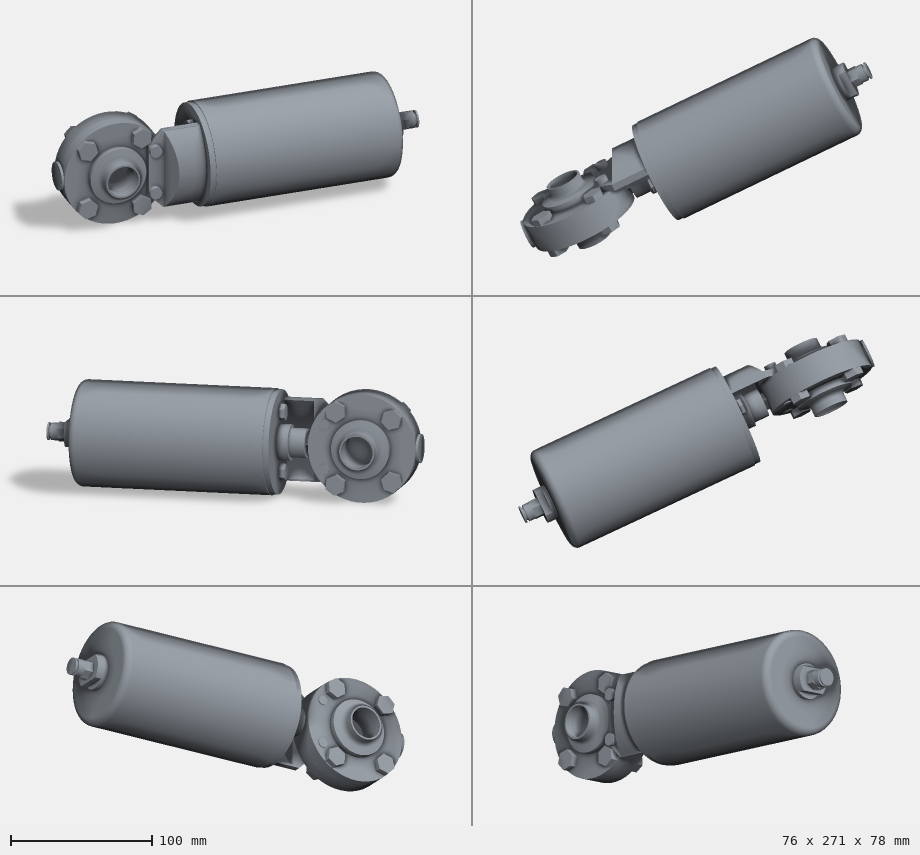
import cadquery as cq
import math


valve_radius = 39.0
half_width = 10.25
hub_radius = 21.0
hub_height = 5.0
hub_end = half_width + hub_height
cone_end = 17.2
pipe_radius = 12.75
pipe_end = 25.0
bore_radius = 11.5
neck_fillet = 2.7
selector_margin = 0.1

bolt_flats = 13.0
bolt_head_height = 5.0
hex_half_pitch = 30
bolt_circle_radius = 32.0
rear_bolt_angle = 55.5
front_bolt_angle = 135.0
flange_bolt_angles = [rear_bolt_angle, front_bolt_angle, -front_bolt_angle, -rear_bolt_angle]

disc_thickness = 5.0
disc_seat_radius = 14.0
stem_radius = 6.5
stem_square = 9.0
square_turn = 45
square_start = 35.0
button_radius = 10.4
button_end = -41.0
button_thickness = 1.8

bracket_thickness = 5.0
bracket_inner = half_width
bracket_outer = bracket_inner + bracket_thickness
bracket_half_height = 29.8
bracket_chamfer_start = 33.8
bracket_tip = 23.0
window_end = 39.3
window_half_height = 28.4
shell_crown = 28.3
shell_half_height = 29.5
shell_wall = 3.5
shell_base_end = 34.2
shell_crown_end = 41.0

screw_y = 27.0
screw_z = 16.3
screw_head_radius = 4.4
screw_head_height = 4.3
screw_end_radius = 3.5
screw_end_height = 0.8

actuator_radius = 38.0
actuator_bottom = 61.3
actuator_top = 207.4
actuator_fillet = 5.0
rim_step = 0.7
rim_height = 4.3
collar_radius = 12.9
collar_end = 53.2
coupling_radius = 10.5
coupling_end = 41.6
actuator_bolt_flats = 10.5
actuator_bolt_height = 4.0
actuator_bolt_z = 21.6

fitting_base_radius = 12.8
fitting_base_height = 8.4
fitting_flats = 17.7
fitting_flat_height = 5.0
fitting_hex_flats = 12.4
fitting_hex_height = 6.5
fitting_barrel_radius = 6.3
fitting_barrel_height = 5.0
fitting_neck_radius = 4.8
fitting_neck_height = 1.5
fitting_cap_height = 1.2


def across_corners(flats):
    """Corner-to-corner size of a hexagon."""
    return flats / math.cos(math.radians(hex_half_pitch))


def rod_x(radius, start, end, y=0, z=0):
    """Round bar along X."""
    return cq.Workplane("YZ", origin=(start, y, z)).circle(radius).extrude(end - start)


def rod_y(radius, start, end):
    """Round bar on the Y axis."""
    return cq.Workplane("XZ", origin=(0, start, 0)).circle(radius).extrude(start - end)


def hex_y(flats, start, end, z=0):
    """Hexagonal bar along Y with two corners pointing up and down."""
    hexagon = cq.Workplane("XZ", origin=(0, start, z)).transformed(rotate=(0, 0, 90))
    return hexagon.polygon(6, across_corners(flats)).extrude(start - end)


def box_between(x_range, y_range, z_range):
    """Box spanning a (start, end) range on each axis."""
    sizes = [end - start for start, end in (x_range, y_range, z_range)]
    corner = (x_range[0], y_range[0], z_range[0])
    return cq.Workplane("XY").box(*sizes, centered=False).translate(corner)


def make_valve_disc():
    """Closing disc on its stem, with a square drive end and a round button end."""
    disc = rod_x(disc_seat_radius, -disc_thickness / 2, disc_thickness / 2)
    stem = rod_y(stem_radius, button_end, square_start)
    open_bore = rod_x(bore_radius, -pipe_end, pipe_end).cut(disc)
    button = rod_y(button_radius, button_end, button_end + button_thickness)
    drive = (
        cq.Workplane("XZ", origin=(0, square_start, 0))
        .transformed(rotate=(0, 0, square_turn))
        .rect(stem_square, stem_square)
        .extrude(square_start - coupling_end)
    )
    return disc.union(stem.cut(open_bore)).union(button).union(drive)


def make_right_half():
    """Valve half on the +X side with its pipe end and flange bolt heads."""
    half = (
        cq.Workplane("XY")
        .polyline([
            (0, 0),
            (0, valve_radius),
            (half_width, valve_radius),
            (half_width, hub_radius),
            (hub_end, hub_radius),
            (cone_end, pipe_radius),
            (pipe_end, pipe_radius),
            (pipe_end, 0),
        ])
        .close()
        .revolve(360, (0, 0, 0), (1, 0, 0))
    )
    neck = cq.selectors.BoxSelector(
        (cone_end - selector_margin, -hub_radius, -hub_radius),
        (cone_end + selector_margin, hub_radius, hub_radius),
    )
    half = half.edges(neck).fillet(neck_fillet)
    for angle in flange_bolt_angles:
        head = (
            cq.Workplane("YZ", origin=(half_width, 0, 0))
            .transformed(rotate=(0, 0, angle))
            .center(bolt_circle_radius, 0)
            .transformed(rotate=(0, 0, hex_half_pitch))
            .polygon(6, across_corners(bolt_flats))
            .extrude(bolt_head_height)
        )
        half = half.union(head)
    return half.cut(rod_x(bore_radius, 0, pipe_end))


def make_left_half(opposite_half):
    """Mirrored valve half with the bracket screw ends showing on its face."""
    half = opposite_half.mirror("YZ")
    for side in (-1, 1):
        screw_end = rod_x(
            screw_end_radius, -half_width - screw_end_height, -half_width, screw_y, side * screw_z
        )
        half = half.union(screw_end)
    return half


def crown_segment(base_x, half_height, crown_x):
    """Circular segment between a chord at base_x and a crown, standing along Y."""
    return (
        cq.Workplane("XZ", origin=(0, actuator_bottom, 0))
        .moveTo(base_x, -half_height)
        .threePointArc((crown_x, 0), (base_x, half_height))
        .close()
    )


def make_bracket():
    """Windowed plate backed by a curved shell, with two screw heads."""
    taper = bracket_chamfer_start - bracket_tip
    tip_half_height = bracket_half_height - taper
    plate = (
        cq.Workplane("YZ", origin=(bracket_inner, 0, 0))
        .polyline([
            (actuator_bottom, bracket_half_height),
            (bracket_chamfer_start, bracket_half_height),
            (bracket_tip, tip_half_height),
            (bracket_tip, -tip_half_height),
            (bracket_chamfer_start, -bracket_half_height),
            (actuator_bottom, -bracket_half_height),
        ])
        .close()
        .extrude(bracket_thickness)
    )
    shell = crown_segment(bracket_outer, shell_half_height, shell_crown)
    shell = shell.extrude(actuator_bottom - shell_base_end)
    sloped_end = (
        cq.Workplane("XY", origin=(0, 0, -bracket_half_height))
        .polyline([
            (bracket_outer, shell_base_end),
            (shell_crown, shell_base_end),
            (shell_crown, shell_crown_end),
        ])
        .close()
        .extrude(2 * bracket_half_height)
    )
    pocket = crown_segment(bracket_inner, window_half_height, shell_crown - shell_wall)
    pocket = pocket.extrude(actuator_bottom - window_end)
    bracket = plate.union(shell.cut(sloped_end)).cut(pocket)
    for side in (-1, 1):
        head = rod_x(
            screw_head_radius, bracket_outer, bracket_outer + screw_head_height, screw_y, side * screw_z
        )
        bracket = bracket.union(head)
    return bracket


def make_fitting():
    """Air fitting: flatted base, hexagon, barrel, neck and cap in a stack."""
    base_top = actuator_top + fitting_base_height
    hex_top = base_top + fitting_hex_height
    barrel_top = hex_top + fitting_barrel_height
    neck_top = barrel_top + fitting_neck_height
    cap_top = neck_top + fitting_cap_height
    flats_start = base_top - fitting_flat_height
    flats = box_between(
        (-fitting_base_radius, fitting_base_radius),
        (flats_start, base_top),
        (-fitting_flats / 2, fitting_flats / 2),
    )
    fitting = rod_y(fitting_base_radius, actuator_top, flats_start)
    fitting = fitting.union(rod_y(fitting_base_radius, flats_start, base_top).intersect(flats))
    fitting = fitting.union(hex_y(fitting_hex_flats, base_top, hex_top))
    fitting = fitting.union(rod_y(fitting_barrel_radius, hex_top, barrel_top))
    fitting = fitting.union(rod_y(fitting_neck_radius, barrel_top, neck_top))
    return fitting.union(rod_y(fitting_barrel_radius, neck_top, cap_top))


def make_actuator():
    """Actuator cylinder with its fitting, coupling and end bolts."""
    rim_end = actuator_bottom + rim_height
    actuator = rod_y(actuator_radius, rim_end, actuator_top).faces(">Y").edges().fillet(actuator_fillet)
    actuator = actuator.union(rod_y(actuator_radius - rim_step, actuator_bottom, rim_end))
    actuator = actuator.union(rod_y(collar_radius, collar_end, actuator_bottom))
    actuator = actuator.union(rod_y(coupling_radius, coupling_end, collar_end))
    for side in (-1, 1):
        bolt = hex_y(
            actuator_bolt_flats,
            actuator_bottom - actuator_bolt_height,
            actuator_bottom,
            side * actuator_bolt_z,
        )
        actuator = actuator.union(bolt)
    return actuator.union(make_fitting())


valve_disc = make_valve_disc()
plain_half = make_right_half()
right_half = plain_half.cut(valve_disc)
left_half = make_left_half(plain_half).cut(valve_disc)
bracket = make_bracket()
actuator = make_actuator()

result = cq.Compound.makeCompound([
    actuator.val(),
    bracket.val(),
    left_half.val(),
    right_half.val(),
    valve_disc.val(),
])